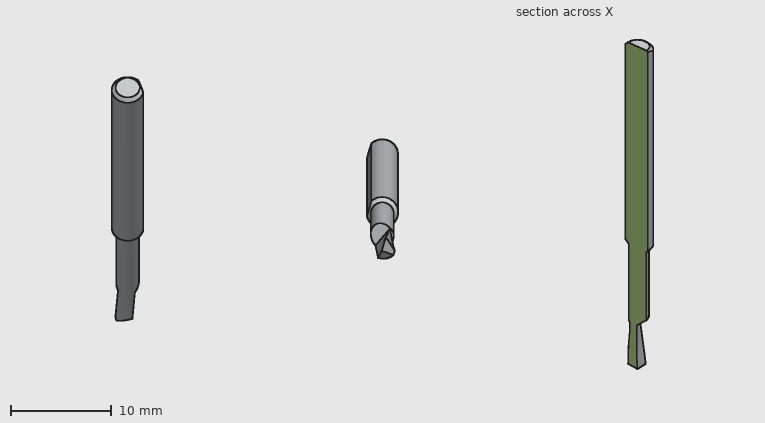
import cadquery as cq
import math

TOTAL_LENGTH = 38.1
SHOULDER_Z = 14.7
HEAD_LENGTH = 5.1

SHANK_RADIUS = 1.58
FLAT_Y = 1.353
TOP_CHAMFER = 0.4

NECK_RADIUS = 1.15

TIP_RADIUS = 1.25
CUTTING_EDGE_RADIUS = 1.3
ROOT_ANGLES = {"edge": 207.0, "heel": 283.0, "back": 380.0}
TIP_ANGLES = {"edge": 180.0, "heel": 261.0, "back": 360.0}

BEVEL_START_X = 0.15
BEVEL_SIZE = 1.35
RELIEF_RISE = 0.1

CUT_SIZE = 7.62


def polar(radius, angle):
    return (radius * math.cos(math.radians(angle)), radius * math.sin(math.radians(angle)))


def section_wire(z, radius, edge_radius, angles):
    """Head section: rake chord, flank chord and a round heel."""
    edge = cq.Vector(*polar(edge_radius, angles["edge"]), z)
    heel = cq.Vector(*polar(radius, angles["heel"]), z)
    back = cq.Vector(*polar(radius, angles["back"]), z)
    middle = cq.Vector(*polar(radius, (angles["heel"] + angles["back"]) / 2), z)
    return cq.Wire.assembleEdges([
        cq.Edge.makeLine(edge, heel),
        cq.Edge.makeThreePointArc(heel, middle, back),
        cq.Edge.makeLine(back, edge),
    ])


def runout(first_angle, second_angle):
    """45 degree wedge that blends a chord of the neck root into the neck."""
    start = polar(NECK_RADIUS, first_angle)
    end = polar(NECK_RADIUS, second_angle)
    along = cq.Vector(end[0] - start[0], end[1] - start[1], 0).normalized()
    outward = cq.Vector(along.y, -along.x, 0)
    chord_middle = cq.Vector((start[0] + end[0]) / 2, (start[1] + end[1]) / 2, HEAD_LENGTH)
    plane = cq.Plane(origin=chord_middle, xDir=outward, normal=outward.cross(cq.Vector(0, 0, 1)))
    wedge = cq.Workplane(plane).polyline([(0, 0), (NECK_RADIUS * 2, 0), (NECK_RADIUS * 2, NECK_RADIUS * 2)])
    return wedge.close().extrude(CUT_SIZE / 2, both=True)


def make_shank():
    shank = (
        cq.Workplane("XY").workplane(offset=SHOULDER_Z - (SHANK_RADIUS - NECK_RADIUS))
        .circle(SHANK_RADIUS).extrude(TOTAL_LENGTH - SHOULDER_Z + SHANK_RADIUS - NECK_RADIUS)
        .faces(">Z").chamfer(TOP_CHAMFER)
        .faces("<Z").chamfer(SHANK_RADIUS - NECK_RADIUS)
    )
    flat = cq.Workplane("XY").box(CUT_SIZE, CUT_SIZE, TOTAL_LENGTH, centered=(True, False, False))
    return shank.cut(flat.translate((0, FLAT_Y, 0)))


def make_neck():
    neck = (
        cq.Workplane("XY").workplane(offset=HEAD_LENGTH)
        .circle(NECK_RADIUS).extrude(SHOULDER_Z - HEAD_LENGTH)
    )
    rake_runout = runout(ROOT_ANGLES["back"], ROOT_ANGLES["edge"])
    flank_runout = runout(ROOT_ANGLES["edge"], ROOT_ANGLES["heel"])
    return neck.cut(rake_runout).cut(flank_runout)


def make_head():
    root = section_wire(HEAD_LENGTH, NECK_RADIUS, NECK_RADIUS, ROOT_ANGLES)
    tip = section_wire(0, TIP_RADIUS, CUTTING_EDGE_RADIUS, TIP_ANGLES)
    head = cq.Workplane(cq.Solid.makeLoft([root, tip], True))
    bevel = (
        cq.Workplane("XZ")
        .polyline([(BEVEL_START_X, 0), (BEVEL_START_X + BEVEL_SIZE, BEVEL_SIZE), (BEVEL_START_X + BEVEL_SIZE, 0)])
        .close().extrude(CUT_SIZE / 2, both=True)
    )
    relief = (
        cq.Workplane("YZ").polyline([(0, 0), (-TIP_RADIUS, RELIEF_RISE), (-TIP_RADIUS, 0)])
        .close().extrude(CUT_SIZE / 2, both=True)
    )
    return head.cut(bevel).cut(relief)


result = make_shank().union(make_neck()).union(make_head())